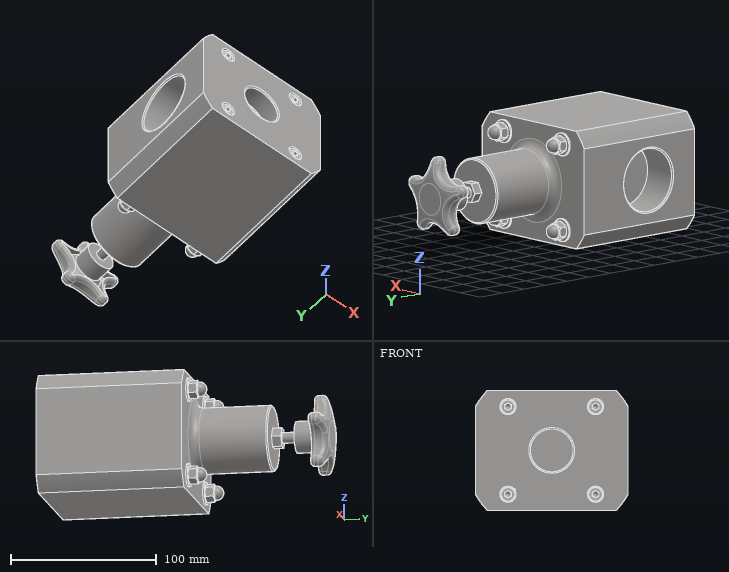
import cadquery as cq
import math


BODY_WIDTH = 104.7
BODY_HEIGHT = 82.5
BODY_LENGTH = 101.8
BODY_CORNER_RADIUS = 60.5

FRONT_PORT_DIAMETER = 29.3
FRONT_PORT_DEPTH = 15.0
FRONT_PORT_CHAMFER = 1.0
SIDE_PORT_DIAMETER = 44.0
SIDE_PORT_DEPTH = 25.5
SIDE_PORT_CHAMFER = 1.0
SIDE_PORT_Y = 42.5

BOLT_SPACING = 60.0
COUNTERBORE_DIAMETER = 11.0
COUNTERBORE_DEPTH = 6.0
SCREW_HEAD_DIAMETER = 9.5
SCREW_HEAD_RECESS = 0.4
SCREW_HEAD_FILLET = 0.8
SOCKET_ACROSS_FLATS = 4.5
SOCKET_DEPTH = 3.0
SOCKET_POINT_DEPTH = 1.4
WASHER_DIAMETER = 16.0
WASHER_THICKNESS = 1.2
DOME_NUT_ACROSS_FLATS = 11.0
DOME_NUT_HEX_HEIGHT = 6.3
DOME_DIAMETER = 10.0
DOME_NUT_HEIGHT = 12.0
NUT_CHAMFER_ANGLE = 30

HOUSING_DIAMETER = 45.7
HOUSING_LENGTH = 54.0
HOUSING_CHAMFER = 1.0
HOUSING_BASE_FILLET = 6.3

LOCK_NUT_ACROSS_FLATS = 13.0
LOCK_NUT_HEIGHT = 6.5
SPINDLE_DIAMETER = 7.5
SPINDLE_LENGTH = 16.3

HUB_DIAMETER = 22.0
HUB_LENGTH = 12.5
LOBE_COUNT = 5
LOBE_CENTRE_RADIUS = 24.5
LOBE_RADIUS = 4.3
VALLEY_RADIUS = 17.0
KNOB_CROWN_RADIUS = 35.5
KNOB_TOP_FILLET = 3.3
KNOB_RIM_FILLET = 3.0
POCKET_OFFSET = 3.3
POCKET_DEPTH = 6.0
FLARE_START_DEPTH = 1.0
FLARE_WIDTH = 5.0
EDGE_MARGIN = 0.2

CORNERS_PER_FLATS = 2 / math.sqrt(3)
VERTEX_ON_X = 0
VERTEX_ON_Z = 90

TOTAL_LENGTH = 196.8
HOUSING_END = BODY_LENGTH + HOUSING_LENGTH
SPINDLE_END = HOUSING_END + SPINDLE_LENGTH
KNOB_BASE = SPINDLE_END + HUB_LENGTH
KNOB_HEIGHT = TOTAL_LENGTH - KNOB_BASE


def plane_at(y):
    """Work plane across the valve axis: local x = X, local y = -Z, normal = +Y."""
    return cq.Workplane(cq.Plane((0, y, 0), (1, 0, 0), (0, 1, 0)))


def disc(y, diameter, length):
    return plane_at(y).circle(diameter / 2).extrude(length)


def hexagon(y, across_flats, length, vertex_angle):
    """Hexagonal prism along the valve axis; vertex_angle is measured from X."""
    across_corners = across_flats * CORNERS_PER_FLATS
    prism = plane_at(y).polygon(6, across_corners).extrude(length)
    return prism.rotate((0, 0, 0), (0, 1, 0), vertex_angle)


def at_bolts(shape):
    """Copy a shape from the valve axis to the four bolt positions."""
    half = BOLT_SPACING / 2
    copies = cq.Workplane()
    for x in (-half, half):
        for z in (-half, half):
            copies = copies.add(shape.translate((x, 0, z)))
    return copies.combine()


def make_body():
    block = cq.Workplane().box(
        BODY_WIDTH, BODY_LENGTH, BODY_HEIGHT, centered=(True, False, True)
    )
    return block.intersect(disc(0, 2 * BODY_CORNER_RADIUS, BODY_LENGTH))


def make_port(diameter, depth, chamfer):
    """Blind bore along +Z from the origin with a chamfered mouth."""
    radius = diameter / 2
    profile = [
        (0, 0),
        (radius + chamfer, 0),
        (radius, chamfer),
        (radius, depth),
        (0, depth),
    ]
    return cq.Workplane("XZ").polyline(profile).close().revolve(360, (0, 0), (0, 1))


def make_front_port():
    port = make_port(FRONT_PORT_DIAMETER, FRONT_PORT_DEPTH, FRONT_PORT_CHAMFER)
    return port.rotate((0, 0, 0), (1, 0, 0), -90)


def make_side_port():
    port = make_port(SIDE_PORT_DIAMETER, SIDE_PORT_DEPTH, SIDE_PORT_CHAMFER)
    return port.rotate((0, 0, 0), (0, 1, 0), 90).translate((-BODY_WIDTH / 2, SIDE_PORT_Y, 0))


def make_screw_head():
    head_length = COUNTERBORE_DEPTH - SCREW_HEAD_RECESS
    head = disc(SCREW_HEAD_RECESS, SCREW_HEAD_DIAMETER, head_length)
    head = head.faces("<Y").edges().fillet(SCREW_HEAD_FILLET)
    socket = hexagon(SCREW_HEAD_RECESS, SOCKET_ACROSS_FLATS, SOCKET_DEPTH, VERTEX_ON_Z)
    point = cq.Workplane(
        cq.Solid.makeCone(
            SOCKET_ACROSS_FLATS / 2,
            0,
            SOCKET_POINT_DEPTH,
            cq.Vector(0, SCREW_HEAD_RECESS + SOCKET_DEPTH, 0),
            cq.Vector(0, 1, 0),
        )
    )
    return head.cut(socket).cut(point)


def make_dome_nut():
    """Washer and domed cap nut standing on the back face of the body."""
    washer = disc(BODY_LENGTH, WASHER_DIAMETER, WASHER_THICKNESS)
    base = BODY_LENGTH + WASHER_THICKNESS

    corner_radius = DOME_NUT_ACROSS_FLATS / 2 * CORNERS_PER_FLATS
    flat_radius = DOME_NUT_ACROSS_FLATS / 2
    dome_radius = DOME_DIAMETER / 2
    slope = math.tan(math.radians(NUT_CHAMFER_ANGLE))
    base_drop = (corner_radius - flat_radius) * slope
    top_drop = (corner_radius - dome_radius) * slope
    envelope_profile = [
        (0, base),
        (flat_radius, base),
        (corner_radius, base + base_drop),
        (corner_radius, base + DOME_NUT_HEX_HEIGHT - top_drop),
        (dome_radius, base + DOME_NUT_HEX_HEIGHT),
        (0, base + DOME_NUT_HEX_HEIGHT),
    ]
    envelope = cq.Workplane().polyline(envelope_profile).close().revolve(360, (0, 0), (0, 1))
    hex_part = hexagon(base, DOME_NUT_ACROSS_FLATS, DOME_NUT_HEX_HEIGHT, VERTEX_ON_Z).intersect(envelope)

    neck_length = DOME_NUT_HEIGHT - DOME_NUT_HEX_HEIGHT - dome_radius
    sphere_centre = base + DOME_NUT_HEX_HEIGHT + neck_length
    neck = disc(base + DOME_NUT_HEX_HEIGHT, DOME_DIAMETER, neck_length)
    dome = cq.Workplane().sphere(dome_radius).translate((0, sphere_centre, 0))
    return washer.union(hex_part).union(neck).union(dome)


def make_housing():
    """Spring housing with a chamfered end and a concave fillet onto the body."""
    radius = HOUSING_DIAMETER / 2
    fillet = HOUSING_BASE_FILLET
    fillet_mid = fillet * (1 - math.sqrt(0.5))
    return (
        cq.Workplane()
        .moveTo(0, BODY_LENGTH)
        .lineTo(radius + fillet, BODY_LENGTH)
        .threePointArc(
            (radius + fillet_mid, BODY_LENGTH + fillet_mid),
            (radius, BODY_LENGTH + fillet),
        )
        .lineTo(radius, HOUSING_END - HOUSING_CHAMFER)
        .lineTo(radius - HOUSING_CHAMFER, HOUSING_END)
        .lineTo(0, HOUSING_END)
        .close()
        .revolve(360, (0, 0), (0, 1))
    )


def make_spindle():
    lock_nut = hexagon(HOUSING_END, LOCK_NUT_ACROSS_FLATS, LOCK_NUT_HEIGHT, VERTEX_ON_X)
    return lock_nut.union(disc(HOUSING_END, SPINDLE_DIAMETER, SPINDLE_LENGTH))


def polar(radius, angle):
    """Point on a plane across the axis; angle 0 points to +Z."""
    return (radius * math.sin(angle), -radius * math.cos(angle))


def star_outline(inset):
    """Closed star of round lobes and tangent concave valleys, moved inwards by inset."""
    pitch = 2 * math.pi / LOBE_COUNT
    lobe_radius = LOBE_RADIUS - inset
    along = LOBE_CENTRE_RADIUS * math.cos(pitch / 2)
    across = LOBE_CENTRE_RADIUS * math.sin(pitch / 2)
    reach = along - VALLEY_RADIUS
    arc_radius = (across**2 + reach**2 - LOBE_RADIUS**2) / (2 * (LOBE_RADIUS + reach))
    arc_centre = VALLEY_RADIUS + arc_radius
    share = lobe_radius / (LOBE_RADIUS + arc_radius)

    def tangent_point(lobe_angle, side):
        lobe = polar(LOBE_CENTRE_RADIUS, lobe_angle)
        valley = polar(arc_centre, lobe_angle + side * pitch / 2)
        return tuple(a + share * (b - a) for a, b in zip(lobe, valley))

    outline = plane_at(KNOB_BASE).moveTo(*tangent_point(0, -1))
    for index in range(LOBE_COUNT):
        angle = index * pitch
        tip = polar(LOBE_CENTRE_RADIUS + lobe_radius, angle)
        valley = polar(VALLEY_RADIUS - inset, angle + pitch / 2)
        outline = outline.threePointArc(tip, tangent_point(angle, 1))
        outline = outline.threePointArc(valley, tangent_point(angle + pitch, -1))
    return outline.close()


def make_knob_crown():
    """Envelope of the knob: a flat centre that curves down towards the lobe tips."""
    flat_radius = HUB_DIAMETER / 2
    outer_radius = LOBE_CENTRE_RADIUS + 2 * LOBE_RADIUS

    def crown_point(radius):
        run = radius - flat_radius
        drop = KNOB_CROWN_RADIUS - math.sqrt(KNOB_CROWN_RADIUS**2 - run**2)
        return (radius, TOTAL_LENGTH - drop)

    return (
        cq.Workplane()
        .moveTo(0, KNOB_BASE)
        .lineTo(0, TOTAL_LENGTH)
        .lineTo(flat_radius, TOTAL_LENGTH)
        .threePointArc(
            crown_point((flat_radius + outer_radius) / 2),
            crown_point(outer_radius),
        )
        .lineTo(outer_radius, KNOB_BASE)
        .close()
        .revolve(360, (0, 0), (0, 1))
    )


def make_knob():
    """Star knob with a hollow underside and a flared hub."""
    hub_radius = HUB_DIAMETER / 2
    star = star_outline(0).extrude(KNOB_HEIGHT).intersect(make_knob_crown())
    star = star.faces("<Y").edges().fillet(KNOB_RIM_FILLET)
    edge_zone = cq.selectors.BoxSelector(
        (-TOTAL_LENGTH, KNOB_BASE + KNOB_RIM_FILLET + EDGE_MARGIN, -TOTAL_LENGTH),
        (TOTAL_LENGTH, TOTAL_LENGTH - EDGE_MARGIN, TOTAL_LENGTH),
    )
    star = star.edges(edge_zone).edges("not |Y").fillet(KNOB_TOP_FILLET)

    flare = cq.Workplane(
        cq.Solid.makeCone(
            hub_radius,
            hub_radius + FLARE_WIDTH,
            POCKET_DEPTH - FLARE_START_DEPTH,
            cq.Vector(0, KNOB_BASE + FLARE_START_DEPTH, 0),
            cq.Vector(0, 1, 0),
        )
    )
    pocket = star_outline(POCKET_OFFSET).extrude(POCKET_DEPTH).cut(flare)
    hub = disc(SPINDLE_END, HUB_DIAMETER, HUB_LENGTH + POCKET_DEPTH)
    return star.cut(pocket).union(hub)


body = make_body().cut(make_front_port()).cut(make_side_port())
body = body.cut(at_bolts(disc(0, COUNTERBORE_DIAMETER, COUNTERBORE_DEPTH)))
body = body.union(at_bolts(make_screw_head()))
body = body.union(at_bolts(make_dome_nut()))
result = body.union(make_housing()).union(make_spindle()).union(make_knob())